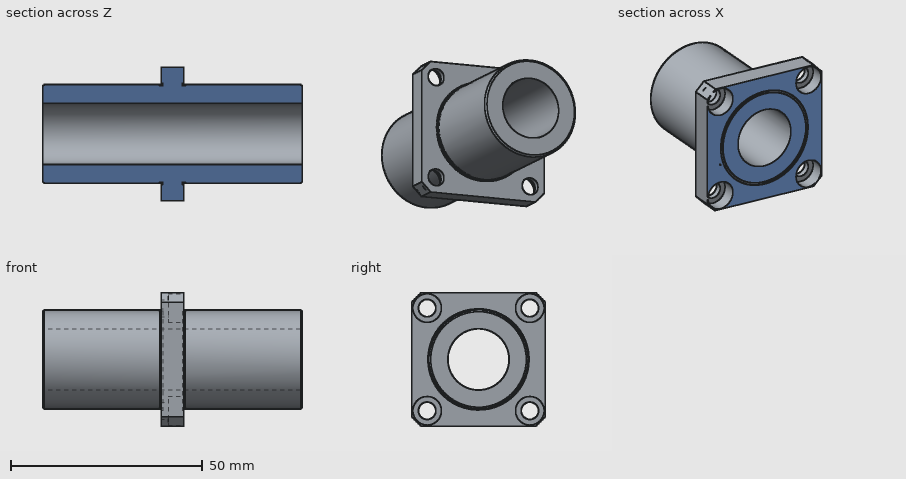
import cadquery as cq
import math

length = 68.0
body_diameter = 26.0
bore_diameter = 16.0
end_chamfer = 0.5

flange_side = 35.0
flange_thickness = 6.0
flange_corner_chamfer = 2.5

neck_width = 0.4
neck_diameter = 25.4

recess_diameter = 26.5
recess_depth = 0.4

hole_diameter = 4.5
counterbore_diameter = 7.5
counterbore_depth = 4.1
hole_circle_diameter = 38.0
hole_pitch = hole_circle_diameter / math.sqrt(2)


def cylinder_along_x(diameter, width):
    """Solid cylinder centred on the origin with its axis along X."""
    return cq.Workplane("YZ").circle(diameter / 2).extrude(width / 2, both=True)


def make_body():
    """Chamfered outer cylinder, relieved to the neck diameter beside the flange."""
    body = cylinder_along_x(body_diameter, length).faces("<X or >X").chamfer(end_chamfer)
    neck_span = flange_thickness + 2 * neck_width
    neck = cylinder_along_x(neck_diameter, neck_span)
    relief = cylinder_along_x(body_diameter, neck_span).cut(neck)
    return body.cut(relief)


def make_flange():
    """Square plate with chamfered corners and a ring recess in each face."""
    plate = (
        cq.Workplane("YZ")
        .rect(flange_side, flange_side)
        .extrude(flange_thickness / 2, both=True)
        .edges("|X")
        .chamfer(flange_corner_chamfer)
    )
    recessed_core = cylinder_along_x(recess_diameter, flange_thickness - 2 * recess_depth)
    recesses = cylinder_along_x(recess_diameter, flange_thickness).cut(recessed_core)
    return plate.cut(recesses)


def drill_mounting_holes(part):
    """Drill four through holes, counterbored from the +X face of the flange."""
    return (
        part.copyWorkplane(cq.Workplane("YZ", origin=(flange_thickness / 2, 0, 0)))
        .rect(hole_pitch, hole_pitch, forConstruction=True)
        .vertices()
        .cboreHole(hole_diameter, counterbore_diameter, counterbore_depth, flange_thickness)
    )


flange = drill_mounting_holes(make_flange())
bore = cylinder_along_x(bore_diameter, length)
result = make_body().union(flange).cut(bore)